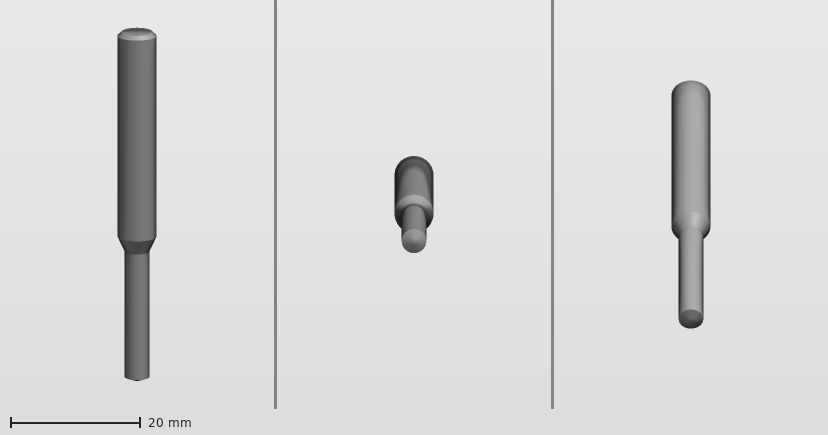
import cadquery as cq
import math

drill_diameter = 3.8
shank_diameter = 6.0
point_angle = 140.0
body_length = 55.0
shank_length = 32.6
taper_half_angle = 25.0
chamfer = 0.6
cutting_length = 2 * drill_diameter

drill_radius = drill_diameter / 2
shank_radius = shank_diameter / 2
taper_length = (shank_radius - drill_radius) / math.tan(math.radians(taper_half_angle))

corner_z = drill_radius / math.tan(math.radians(point_angle / 2))
joint_z = corner_z + cutting_length
shank_top_z = corner_z + body_length
taper_top_z = shank_top_z - shank_length
neck_top_z = taper_top_z - taper_length


def turned(profile):
    """Revolve a closed (radius, height) profile about the Z axis."""
    return cq.Workplane("XZ").polyline(profile).close().revolve(360, (0, 0), (0, 1))


def make_cutting_head():
    """Cylinder with a conical point."""
    return turned([
        (0, 0),
        (drill_radius, corner_z),
        (drill_radius, joint_z),
        (0, joint_z),
    ])


def make_shank():
    """Slim neck, taper and chamfered shank, standing on the cutting head."""
    return turned([
        (0, joint_z),
        (drill_radius, joint_z),
        (drill_radius, neck_top_z),
        (shank_radius, taper_top_z),
        (shank_radius, shank_top_z - chamfer),
        (shank_radius - chamfer, shank_top_z),
        (0, shank_top_z),
    ])


cutting_head = make_cutting_head()
shank = make_shank()

result = cq.Compound.makeCompound([cutting_head.val(), shank.val()])